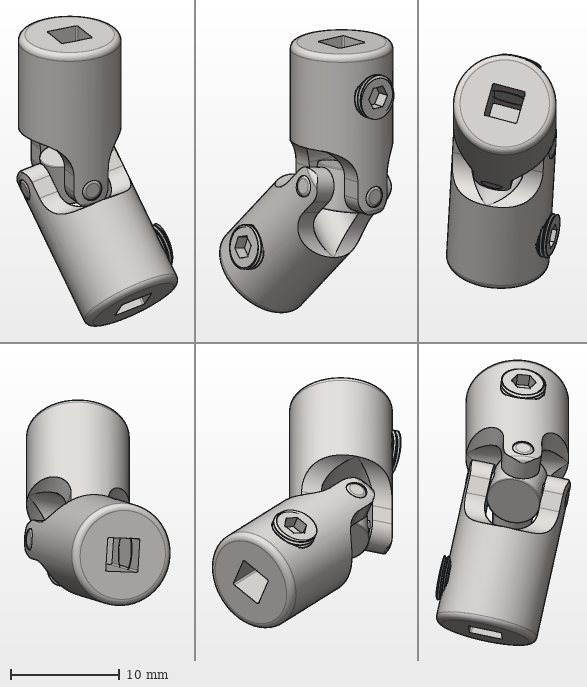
import cadquery as cq
import math

yoke_diameter = 9.5
yoke_radius = yoke_diameter / 2
yoke_length = 13.88
end_fillet = 0.62
tip_fillet = 0.5
arm_half_width = 1.78
arch_radius = yoke_radius - arm_half_width
arch_straight = 1.67
arch_top = arch_straight + arch_radius
fork_half_gap = 2.5
bore_side = 3.13
bore_corner_radius = 0.15
bore_depth = 8.0

screw_radius = 2.08
screw_face_distance = 5.2
screw_height = yoke_length - 4.23
thread_pitch = 0.4
thread_depth = 0.25
thread_half_root = 0.03
thread_flank_slope = 0.55
thread_clearance = 0.03
thread_seam_angle = 100.0
thread_start_angle = 60.0
hex_across_flats = 1.97
hex_depth = 1.19
screw_tip_distance = bore_side / 2

block_radius = fork_half_gap
block_height = 4.0
block_fillet = 0.08
pin_radius = 1.0
pin_half_length = yoke_radius
pin_end_fillet = 0.3

first_pin_angle = 145.0
block_tilt = 10.6
lower_swing = 42.6

through = 4 * yoke_radius


def pin_hole():
    return cq.Workplane("YZ").circle(pin_radius).extrude(through / 2, both=True)


def screw_hole():
    return (
        cq.Workplane("YZ", origin=(screw_tip_distance, 0, screw_height))
        .circle(screw_radius)
        .extrude(through)
    )


def arch_cutter():
    """Space beside one arm: straight side, concave arch above, round arm tip below."""
    tip_mid = arm_half_width * math.sqrt(0.5)
    arch_mid = arch_radius * (1 - math.sqrt(0.5))
    edge = yoke_radius + 0.27
    return (
        cq.Workplane("YZ")
        .moveTo(0, -arm_half_width)
        .threePointArc((tip_mid, -tip_mid), (arm_half_width, 0))
        .lineTo(arm_half_width, arch_straight)
        .threePointArc((arm_half_width + arch_mid, arch_top - arch_mid), (yoke_radius, arch_top))
        .lineTo(edge, arch_top)
        .lineTo(edge, -arm_half_width - 0.27)
        .lineTo(0, -arm_half_width - 0.27)
        .close()
        .extrude(through / 2, both=True)
    )


def fork_gap():
    """Round-bottomed slot between the two arms."""
    slot_straight = arch_top - fork_half_gap
    return (
        cq.Workplane("XZ")
        .moveTo(-fork_half_gap, -through / 2)
        .lineTo(-fork_half_gap, slot_straight)
        .threePointArc((0, arch_top), (fork_half_gap, slot_straight))
        .lineTo(fork_half_gap, -through / 2)
        .close()
        .extrude(through / 2, both=True)
    )


def square_bore():
    return (
        cq.Workplane("XY", origin=(0, 0, yoke_length - bore_depth))
        .rect(bore_side, bore_side)
        .extrude(through)
        .edges("|Z")
        .fillet(bore_corner_radius)
    )


def make_yoke():
    """Yoke along +Z with its pin along X and its screw on the +X side."""
    body = (
        cq.Workplane("XY", origin=(0, 0, -arm_half_width))
        .circle(yoke_radius)
        .extrude(yoke_length + arm_half_width)
        .faces(">Z")
        .edges()
        .fillet(end_fillet)
        .faces("<Z")
        .edges()
        .fillet(tip_fillet)
    )
    arch = arch_cutter()
    return (
        body.cut(arch)
        .cut(arch.mirror("XZ"))
        .cut(fork_gap())
        .cut(pin_hole())
        .cut(square_bore())
        .cut(screw_hole())
    )


def thread_groove():
    """Helical V groove about Z, running past both ends of the screw."""
    root_radius = screw_radius - thread_depth
    outer_radius = screw_radius + thread_clearance
    half_mouth = thread_half_root + thread_flank_slope * (outer_radius - root_radius)
    start = screw_tip_distance - thread_pitch
    helix = cq.Wire.makeHelix(
        thread_pitch, screw_face_distance - start + thread_pitch, root_radius, cq.Vector(0, 0, start)
    )
    return (
        cq.Workplane("XZ")
        .moveTo(root_radius, start - thread_half_root)
        .lineTo(outer_radius, start - half_mouth)
        .lineTo(outer_radius, start + half_mouth)
        .lineTo(root_radius, start + thread_half_root)
        .close()
        .sweep(cq.Workplane(obj=helix), isFrenet=True)
    )


def make_screw():
    """Threaded set screw along X with a hexagon socket in its outer face."""
    threaded = (
        cq.Workplane("XY", origin=(0, 0, screw_tip_distance))
        .circle(screw_radius)
        .extrude(screw_face_distance - screw_tip_distance)
        .cut(turned(thread_groove(), (0, 0, 1), thread_seam_angle))
    )
    threaded = turned(threaded, (0, 0, 1), thread_start_angle)
    socket = (
        cq.Workplane("YZ", origin=(screw_face_distance, 0, 0))
        .polygon(6, hex_across_flats / math.cos(math.pi / 6))
        .extrude(-hex_depth)
    )
    return turned(threaded, (0, 1, 0), 90).cut(socket).translate((0, 0, screw_height))


def make_pin():
    """Round-ended pin along X, notched to half its thickness where the pins cross."""
    pin = (
        cq.Workplane("YZ", origin=(-pin_half_length, 0, 0))
        .circle(pin_radius)
        .extrude(2 * pin_half_length)
        .edges("%CIRCLE")
        .fillet(pin_end_fillet)
    )
    notch = cq.Workplane("XY").box(
        2 * pin_radius, 2 * pin_radius, pin_radius, centered=(True, True, False)
    )
    return pin.cut(notch)


def make_block():
    cross_hole = pin_hole()
    return (
        cq.Workplane("XY", origin=(0, 0, -block_height / 2))
        .circle(block_radius)
        .extrude(block_height)
        .edges("%CIRCLE")
        .fillet(block_fillet)
        .cut(cross_hole)
        .cut(cross_hole.rotate((0, 0, 0), (0, 0, 1), 90))
    )


def turned(body, axis, angle):
    return body.rotate((0, 0, 0), axis, angle)


def with_block(body):
    """Move a body from block axes (upper pin on X, lower pin on Y) into place."""
    return turned(turned(body, (1, 0, 0), -block_tilt), (0, 0, 1), first_pin_angle)


def with_lower_yoke(body):
    """Move a body from yoke axes to the lower yoke."""
    hung = turned(turned(body, (1, 0, 0), 180), (0, 0, 1), -90)
    return with_block(turned(hung, (0, 1, 0), lower_swing))


def with_upper_yoke(body):
    return turned(body, (0, 0, 1), first_pin_angle)


yoke = make_yoke()
screw = make_screw()
pin = make_pin()

places = [with_upper_yoke, with_lower_yoke]
yokes = [place(yoke).val() for place in places]
screws = [place(screw).val() for place in places]
block = with_block(make_block())
upper_pin = with_block(pin)
lower_pin = with_block(turned(turned(pin, (1, 0, 0), 180), (0, 0, 1), 90))

result = cq.Compound.makeCompound([*yokes, *screws, block.val(), upper_pin.val(), lower_pin.val()])